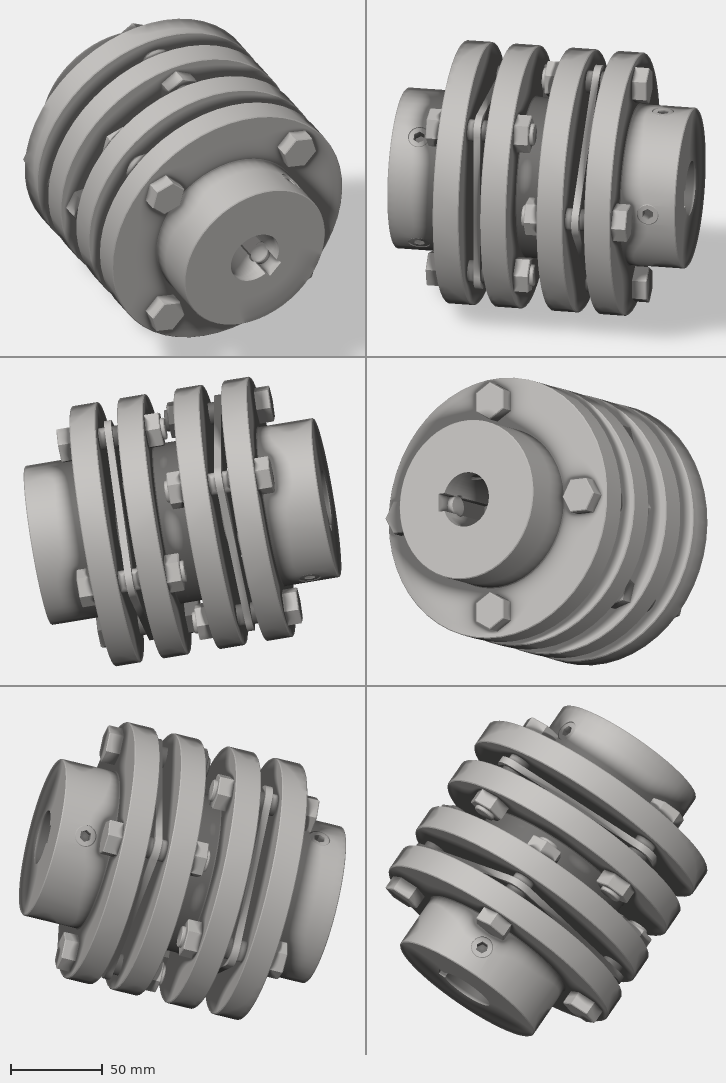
import cadquery as cq
import math


total_length = 160.0
flange_thickness = 14.4
flange_gap = 12.0
spool_tube_length = 17.0
disc_thickness = 3.8

flange_diameter = 144.0
hub_diameter = 88.0
bore_diameter = 30.0
edge_break = 0.5

bolt_count = 4
bolt_spacing = 360 / bolt_count
bolt_circle_radius = 58.2
shank_diameter = 12.0
hex_across_flats = 18.0
hex_height = 8.0
hex_edge_break = 0.5
shank_end_projection = 2.0
shank_end_chamfer = 0.5
disc_eye_radius = 9.5

keyway_width = 10.0
keyway_floor_height = 18.2
screw_diameter = 12.0
screw_end_distance = 15.2
screw_sink = 0.5
screw_tip_height = 15.4
screw_chamfer = 0.5
socket_across_flats = 5.8
socket_depth = 6.0

hub_end_x = -total_length / 2
spool_face_x = -spool_tube_length / 2
spool_gap_x = spool_face_x - flange_thickness
hub_gap_x = spool_gap_x - flange_gap
hub_face_x = hub_gap_x - flange_thickness
disc_x = (spool_gap_x + hub_gap_x - disc_thickness) / 2

hub_radius = hub_diameter / 2
flange_radius = flange_diameter / 2
bore_radius = bore_diameter / 2


def across_corners(across_flats):
    return across_flats / math.cos(math.pi / 6)


def plane_at(x):
    """Plane facing +X, with its local axes along Y and Z."""
    return cq.Workplane("YZ", origin=(x, 0, 0))


def around_axis(feature):
    """Repeat a feature at every bolt position."""
    ring = feature
    for index in range(1, bolt_count):
        ring = ring.union(feature.rotate((0, 0, 0), (1, 0, 0), index * bolt_spacing))
    return ring


def revolve_about_axis(outline):
    return cq.Workplane("XY").polyline(outline).close().revolve(360, (0, 0, 0), (1, 0, 0))


def flange_outline(face_x, gap_x):
    """Outline points from the tube surface, over the flange, to the bore on the gap side."""
    step = math.copysign(edge_break, gap_x - face_x)
    return [
        (face_x - step, hub_radius),
        (face_x, hub_radius + edge_break),
        (face_x, flange_radius - edge_break),
        (face_x + step, flange_radius),
        (gap_x - step, flange_radius),
        (gap_x, flange_radius - edge_break),
        (gap_x, bore_radius),
    ]


def set_screw():
    """Socket set screw pointing inward along Z, with its flat end sunk below the hub surface."""
    top = hub_radius - screw_sink
    screw = (
        cq.Workplane("XY", origin=(0, 0, screw_tip_height))
        .circle(screw_diameter / 2)
        .extrude(top - screw_tip_height)
        .faces("<Z or >Z")
        .chamfer(screw_chamfer)
    )
    socket = (
        cq.Workplane("XY", origin=(0, 0, top))
        .polygon(6, across_corners(socket_across_flats))
        .extrude(-socket_depth)
        .rotate((0, 0, 0), (0, 0, 1), 90)
    )
    return screw.cut(socket)


def hub():
    """Flanged hub with a keyway toward +Y and set screws toward +Z and +Y."""
    end_outline = [
        (hub_end_x, bore_radius),
        (hub_end_x, hub_radius - edge_break),
        (hub_end_x + edge_break, hub_radius),
    ]
    body = revolve_about_axis(end_outline + flange_outline(hub_face_x, hub_gap_x))
    keyway = (
        plane_at(hub_end_x)
        .rect(keyway_floor_height, keyway_width)
        .extrude(hub_gap_x - hub_end_x)
        .translate((0, keyway_floor_height / 2, 0))
    )
    body = body.cut(keyway)
    screw_x = hub_end_x + screw_end_distance
    screw_hole = cq.Workplane("XY").circle(screw_diameter / 2).extrude(hub_radius)
    screw = set_screw()
    for angle in (0, -90):
        body = body.cut(screw_hole.rotate((0, 0, 0), (1, 0, 0), angle).translate((screw_x, 0, 0)))
        body = body.union(screw.rotate((0, 0, 0), (1, 0, 0), angle).translate((screw_x, 0, 0)))
    return body


def hexagon(x, height):
    """Hexagonal head from x along the axis, a corner pointing away from the coupling axis."""
    outer_side = ">X" if height > 0 else "<X"
    return (
        plane_at(x)
        .center(bolt_circle_radius, 0)
        .polygon(6, across_corners(hex_across_flats))
        .extrude(height)
        .faces(outer_side)
        .chamfer(hex_edge_break)
    )


def bolt():
    """Bolt through both flanges on the +Y side, head on the hub and nut on the spool."""
    shank_end_x = spool_face_x + hex_height + shank_end_projection
    shank = (
        plane_at(hub_face_x)
        .center(bolt_circle_radius, 0)
        .circle(shank_diameter / 2)
        .extrude(shank_end_x - hub_face_x)
        .faces(">X")
        .chamfer(shank_end_chamfer)
    )
    head = hexagon(hub_face_x, -hex_height)
    nut = hexagon(spool_face_x, hex_height)
    return shank.union(head).union(nut)


def disc_pack():
    """Square ring of flat links joining round eyes at the bolts."""
    link_length = bolt_circle_radius * 2 * math.sin(math.pi / bolt_count)
    link_distance = bolt_circle_radius * math.cos(math.pi / bolt_count)
    eye = plane_at(disc_x).center(bolt_circle_radius, 0).circle(disc_eye_radius).extrude(disc_thickness)
    link = (
        plane_at(disc_x)
        .center(link_distance, 0)
        .rect(2 * disc_eye_radius, link_length)
        .extrude(disc_thickness)
        .rotate((0, 0, 0), (1, 0, 0), bolt_spacing / 2)
    )
    return around_axis(eye.union(link))


def spool():
    """Middle tube with a flange at each end."""
    near_flange = flange_outline(spool_face_x, spool_gap_x)
    far_flange = [(-x, radius) for x, radius in reversed(near_flange)]
    return revolve_about_axis(near_flange + far_flange)


near_side = hub().union(disc_pack()).union(around_axis(bolt()))
far_side = near_side.mirror("YZ").rotate((0, 0, 0), (1, 0, 0), -bolt_spacing / 2)
result = spool().union(near_side).union(far_side)